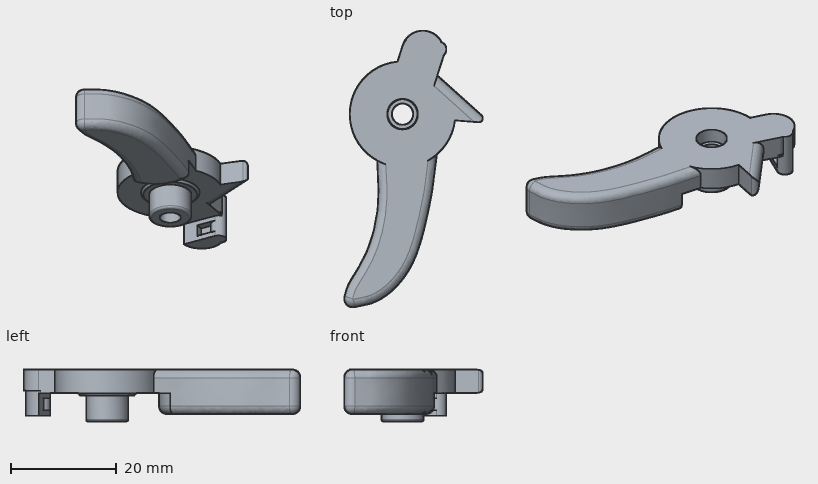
import cadquery as cq
import math


plate_thickness = 4.5
hub_radius = 10.0

total_depth = 9.9
peg_diameter = 8.0
peg_round = 0.45
collar_top_diameter = 11.1
collar_bottom_diameter = 10.15
collar_height = 0.45
bore_top_diameter = 5.8
bore_bottom_diameter = 5.6
bore_depth = 2.7
hole_diameter = 4.0

arm_angle = 18.0
arm_width = 8.0
arm_reach = 12.4
arm_end_thickness = 4.05

boss_depth = 8.8
boss_setback = 0.4
pin_diameter = 3.0
pin_radius = pin_diameter / 2
pin_x = 6.8
pin_y = 12.25
groove_top = 5.5
groove_bottom = 7.75
groove_length = 3.75

pawl_slope = 42.0
pawl_ridge_x = 6.7
pawl_ridge_y = 7.2
pawl_root_x = 4.2
pawl_heel = (9.95, -1.2)
pawl_underside_slope = 4.5
pawl_round = 1.9
pawl_tip_radius = 0.8

lever_depth = 8.5
lever_round = 1.55
lever_root_y = -4.7
lever_left = [(-4.8, -8.75), (-4.55, -14.0), (-5.5, -22.2), (-8.4, -29.1), (-10.25, -32.25)]
lever_tip_x = -9.35
lever_tip_y = -34.85
lever_tip_radius = 1.7
lever_tip_start_angle = 165
lever_tip_end_angle = 280
lever_right = [(-5.8, -35.75), (0.3, -30.85), (4.1, -21.8), (5.5, -15.25), (6.5, -7.8)]
heel_left = (-6.3, -13.85)
heel_crown = (0.5, -9.8)
heel_right = (7.35, -13.1)


def disc(diameter, top_z, bottom_z):
    """Solid cylinder on the hub axis."""
    return cq.Workplane("XY").workplane(offset=bottom_z).circle(diameter / 2).extrude(top_z - bottom_z)


def cone(top_diameter, bottom_diameter, top_z, bottom_z):
    """Solid frustum on the hub axis."""
    return (
        cq.Workplane("XY").workplane(offset=top_z).circle(top_diameter / 2)
        .workplane(offset=bottom_z - top_z).circle(bottom_diameter / 2).loft()
    )


def arm_plane(z):
    """Workplane whose local Y axis runs outward along the arm."""
    return cq.Workplane("XY").workplane(offset=z).transformed(rotate=(0, 0, -arm_angle))


def arm_bar(reach, top_z, bottom_z):
    """Bar along the arm from the hub axis to a round end centred at reach."""
    half = arm_width / 2
    return (
        arm_plane(bottom_z).moveTo(-half, 0).lineTo(-half, reach)
        .threePointArc((0, reach + half), (half, reach)).lineTo(half, 0).close()
        .extrude(top_z - bottom_z)
    )


def make_arm():
    """Arm with its stepped end, hook boss, pin and the groove that bares the pin."""
    a = math.radians(arm_angle)
    pin_along = pin_x * math.sin(a) + pin_y * math.cos(a)
    pin_across = pin_x * math.cos(a) - pin_y * math.sin(a)
    boss_start = pin_along - pin_radius
    boss_reach = arm_reach - boss_setback

    arm = arm_bar(arm_reach, 0, -arm_end_thickness)
    arm = arm.union(arm_bar(boss_reach, 0, -plate_thickness))
    boss = arm_bar(boss_reach, -plate_thickness, -boss_depth)
    below_boss = (
        arm_plane(-boss_depth).moveTo(-arm_width, 0).rect(2 * arm_width, boss_start, centered=False)
        .extrude(boss_depth - plate_thickness)
    )
    corner = (
        arm_plane(-boss_depth).moveTo(pin_across, boss_start)
        .rect(arm_width, pin_radius, centered=False).extrude(boss_depth - plate_thickness)
    )
    groove = (
        arm_plane(-groove_bottom).moveTo(pin_across - groove_length, boss_start)
        .rect(groove_length + pin_radius, pin_radius, centered=False).extrude(groove_bottom - groove_top)
    )
    pin = cq.Workplane("XY").center(pin_x, pin_y).circle(pin_radius).extrude(-boss_depth)
    return arm.union(boss.cut(below_boss).cut(corner).cut(groove)).union(pin)


def add_pawl(hub):
    """Hub with a pointed pawl; the pawl's rounded-over long face also trims the hub rim."""
    slope = math.tan(math.radians(pawl_slope))
    under = math.tan(math.radians(pawl_underside_slope))
    heel_x, heel_y = pawl_heel
    tip_x = (pawl_ridge_y + slope * pawl_ridge_x - heel_y - under * heel_x) / (slope - under)
    tip_y = heel_y - under * (tip_x - heel_x)
    root_y = pawl_ridge_y + slope * (pawl_ridge_x - pawl_root_x)
    blank = (
        cq.Workplane("XY").polyline([(0, 0), (pawl_root_x, root_y), (tip_x, tip_y), pawl_heel]).close()
        .extrude(-plate_thickness)
    )
    tip_edge = cq.selectors.NearestToPointSelector((tip_x, tip_y, -plate_thickness / 2))
    blunted = blank.edges(tip_edge).fillet(pawl_tip_radius)
    rounded = blank
    for z in (0, -plate_thickness):
        ridge = cq.selectors.NearestToPointSelector(((pawl_root_x + tip_x) / 2, (root_y + tip_y) / 2, z))
        rounded = rounded.edges(ridge).fillet(pawl_round)
    trim = (
        cq.Workplane("XY").transformed(offset=(pawl_root_x, root_y, 0), rotate=(0, 0, -pawl_slope))
        .moveTo(0, -pawl_round).rect(2 * hub_radius, 3 * pawl_round, centered=False).extrude(-plate_thickness)
        .cut(rounded)
    )
    return hub.cut(trim).union(rounded.intersect(blunted))


def tip_point(angle):
    """Point on the lever's round tip at an angle in degrees."""
    a = math.radians(angle)
    return (lever_tip_x + lever_tip_radius * math.cos(a), lever_tip_y + lever_tip_radius * math.sin(a))


def tip_heading(angle):
    """Counter-clockwise tangent direction of the lever's round tip."""
    a = math.radians(angle)
    return (-math.sin(a), math.cos(a))


def lever_blank(depth):
    """Full lever outline, run into the hub, down to the given depth."""
    start = lever_tip_start_angle
    end = lever_tip_end_angle
    left_heading = (0, -1)
    right_heading = (lever_right[-1][0] - lever_right[-2][0], lever_right[-1][1] - lever_right[-2][1])
    return (
        cq.Workplane("XY").moveTo(lever_left[0][0], lever_root_y).lineTo(*lever_left[0])
        .spline(lever_left[1:] + [tip_point(start)], [left_heading, tip_heading(start)], includeCurrent=True)
        .threePointArc(tip_point((start + end) / 2), tip_point(end))
        .spline(lever_right, [tip_heading(end), right_heading], includeCurrent=True)
        .lineTo(lever_right[-1][0], lever_root_y).close().extrude(-depth)
    )


def make_lever():
    """Lever with rounded rims; its lower part stops short of the hub in a bowed heel."""
    hub_side = (
        cq.Workplane("XY").workplane(offset=-lever_depth).moveTo(*heel_left)
        .threePointArc(heel_crown, heel_right).lineTo(heel_right[0], 0).lineTo(heel_left[0], 0).close()
        .extrude(lever_depth - plate_thickness)
    )
    lever = lever_blank(lever_depth).cut(hub_side)
    lever = lever.faces(">Z").edges().fillet(lever_round)
    return lever.faces("<Z").edges().fillet(lever_round)


def make_hub():
    """Hub plate with its collar and rounded pivot peg."""
    peg = disc(peg_diameter, 0, -total_depth).faces("<Z").edges().fillet(peg_round)
    collar = cone(
        collar_top_diameter, collar_bottom_diameter, -plate_thickness, -plate_thickness - collar_height
    )
    return disc(2 * hub_radius, 0, -plate_thickness).union(collar).union(peg)


bore = cone(bore_top_diameter, bore_bottom_diameter, 0, -bore_depth)
hole = disc(hole_diameter, 0, -total_depth)

result = add_pawl(make_hub()).union(make_arm()).union(make_lever())
result = result.cut(bore).cut(hole)